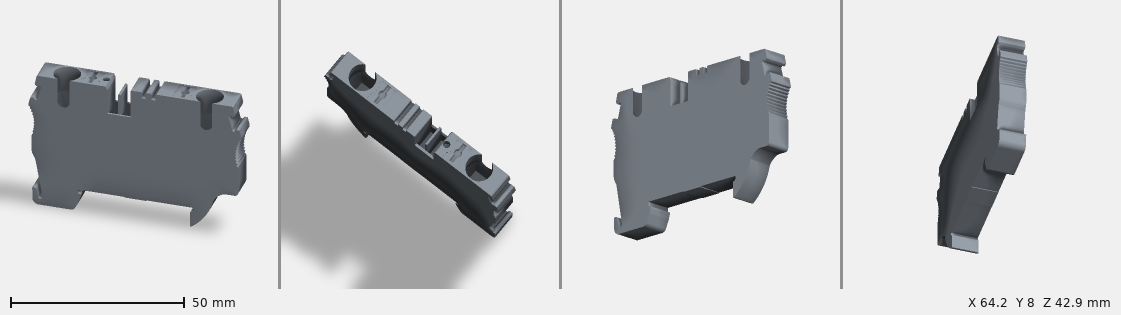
import cadquery as cq
import math

half_length = 32.1
thickness = 8.0
height = 42.9
half_thickness = thickness / 2
side_wall_x = 31.1
side_wall_top_z = 22.8

grip_radius = 11.55
grip_center_z = 26.65
grip_top_angle = 30.0
grip_bottom_angle = -18.0
grip_center_x = half_length + grip_radius * math.cos(math.radians(grip_top_angle))
tooth_count = 10
tooth_depth = 0.4

rail_z = 7.05
pad_z = 6.9
pad_left_x = -3.1
pad_right_x = 3.55

slot_mouth = (-28.65, 7.4)
slot_outer_top = (-30.4, 5.45)
web_thickness = 0.95

jumper_left_x = -8.3
jumper_right_x = -1.3
jumper_floor_z = 34.0
jumper_chamfer_width = 0.5
jumper_chamfer_height = 1.15
jumper_edge_break = 0.2
pocket_back_y = 3.2
pocket_front_y = -3.4
pocket_depth = 6.4
blade_x = -4.8
blade_width = 0.8
blade_top_z = 40.6
blade_chamfer = 0.2

groove_floor_z = 40.9
groove_lip = 0.2
groove_lip_height = 0.4
groove_spans = ((2.0, 3.2), (4.95, 6.3))

entry_x = 21.5
entry_y = -0.42
entry_radius = 4.015
entry_bore_end_z = 34.95
entry_taper_depth = 6.4
seat_size = 4.5
seat_x = 21.0
seat_y = 0.0

marker_x = 13.95
marker_length = 5.5
marker_width = 6.4
marker_depth = 0.1
marker_notch_depth = 0.7
marker_notch_width = 3.1
driver_top_width = 1.3
driver_floor_width = 0.65
driver_head_top_diameter = 2.45
driver_head_floor_diameter = 1.8
driver_depth = 0.65

test_hole_x = -9.8
test_hole_diameter = 2.1
test_hole_depth = 3.2
test_rib_diameter = 0.8
test_clearance_radius = 2.3


def box(x0, x1, y0, y1, z0, z1):
    """Box between the given limits."""
    return cq.Workplane("XY").box(x1 - x0, y1 - y0, z1 - z0, centered=False).translate((x0, y0, z0))


def prism(outline, y0=-half_thickness, y1=half_thickness):
    """Extrude a closed XZ outline from y0 to y1."""
    return outline.extrude(y0 - y1).translate((0, y0, 0))


def grip_point(radius, angle):
    """Point on the right-hand grip, measured from the grip centre."""
    a = math.radians(angle)
    return (grip_center_x - radius * math.cos(a), grip_center_z + radius * math.sin(a))


def end_points():
    """Right end from the top corner down to the foot of the grip teeth."""
    points = [
        (29.2, height),
        (29.6, 42.7),
        (30.2, 40.2),
        (30.1, 39.75),
        (29.5, 39.3),
        (28.9, 39.8),
        (28.25, 39.25),
        (29.4, 34.8),
        (29.95, 34.55),
        (30.6, 35.3),
        (31.55, 35.3),
        (half_length, 33.0),
    ]
    step = (grip_top_angle - grip_bottom_angle) / tooth_count
    for i in range(tooth_count):
        tip_angle = grip_top_angle - i * step
        points.append(grip_point(grip_radius, tip_angle))
        points.append(grip_point(grip_radius + tooth_depth, tip_angle - step / 2))
    points.append((side_wall_x, side_wall_top_z))
    return points


def make_body():
    right_end = end_points()
    left_end = [(-x, z) for x, z in reversed(right_end)]
    outline = (
        cq.Workplane("XZ")
        .polyline(right_end)
        .lineTo(side_wall_x, 14.3)
        .radiusArc((30.05, 13.3), 1.0)
        .lineTo(27.1, 13.3)
        .threePointArc((25.4, 12.45), (23.8, 10.8))
        .threePointArc((21.7, 5.7), (17.1, 0.7))
        .lineTo(16.7, 0.7)
        .lineTo(16.7, 5.45)
        .lineTo(17.35, 5.7)
        .lineTo(17.65, 6.15)
        .lineTo(17.65, rail_z)
        .lineTo(pad_right_x, rail_z)
        .lineTo(pad_right_x, pad_z)
        .lineTo(pad_left_x, pad_z)
        .lineTo(pad_left_x, rail_z)
        .lineTo(-17.15, rail_z)
        .lineTo(-17.15, 5.85)
        .lineTo(-16.4, 5.5)
        .lineTo(-16.4, 4.95)
        .lineTo(-16.75, 3.55)
        .lineTo(-18.0, 0.85)
        .radiusArc((-19.2, 0), 1.6)
        .lineTo(-29.2, 0)
        .radiusArc((-30.9, 2.05), 1.85)
        .lineTo(-30.9, 4.6)
        .lineTo(-31.1, 4.95)
        .radiusArc(slot_outer_top, 0.65)
        .radiusArc((-29.7, 4.75), 0.85)
        .lineTo(-29.15, 2.75)
        .threePointArc((-28.45, 2.0), (-27.8, 2.8))
        .lineTo(-29.95, 14.5)
        .lineTo(-30.1, 15.3)
        .lineTo(-30.8, 16.45)
        .radiusArc((-side_wall_x, 18.2), 3.2)
    )
    for point in left_end:
        outline = outline.lineTo(*point)
    return prism(outline.close())


def slot_web():
    outline = (
        cq.Workplane("XZ")
        .moveTo(*slot_mouth)
        .lineTo(-28.9, 6.75)
        .lineTo(-29.75, 6.15)
        .lineTo(*slot_outer_top)
        .lineTo(-29.5, 1.9)
        .lineTo(-27.6, 1.9)
        .close()
    )
    return prism(outline, half_thickness - web_thickness, half_thickness)


def jumper_slot():
    outline = cq.Workplane("XZ").polyline([
        (jumper_left_x - jumper_chamfer_width, height),
        (jumper_left_x, height - jumper_chamfer_height),
        (jumper_left_x, jumper_floor_z),
        (jumper_right_x, jumper_floor_z),
        (jumper_right_x, height - jumper_edge_break),
        (jumper_right_x + jumper_edge_break, height),
    ]).close()
    pocket = box(
        jumper_left_x, jumper_right_x,
        pocket_front_y, pocket_back_y,
        jumper_floor_z - pocket_depth, jumper_floor_z,
    )
    return prism(outline).union(pocket)


def contact_blade():
    blade = box(
        blade_x - blade_width / 2, blade_x + blade_width / 2,
        pocket_front_y, pocket_back_y,
        jumper_floor_z - pocket_depth, blade_top_z,
    )
    return blade.edges("|Y and >Z").chamfer(blade_chamfer)


def label_groove(x0, x1):
    lip_z = height - groove_lip_height
    return prism(cq.Workplane("XZ").polyline([
        (x0 - groove_lip, height),
        (x0, lip_z),
        (x0, groove_floor_z),
        (x1, groove_floor_z),
        (x1, lip_z),
        (x1 + groove_lip, height),
    ]).close())


def wire_entry(side):
    bore = (
        cq.Workplane("XY", origin=(side * entry_x, entry_y, entry_bore_end_z))
        .circle(entry_radius)
        .extrude(height - entry_bore_end_z)
    )
    corner = entry_radius * math.sqrt(0.5)
    taper = (
        cq.Workplane("XY", origin=(side * entry_x, entry_y, entry_bore_end_z))
        .moveTo(-corner, -corner)
        .threePointArc((0, -entry_radius), (corner, -corner))
        .threePointArc((entry_radius, 0), (corner, corner))
        .threePointArc((0, entry_radius), (-corner, corner))
        .threePointArc((-entry_radius, 0), (-corner, -corner))
        .close()
        .workplane(offset=-entry_taper_depth, origin=(side * seat_x, seat_y, entry_bore_end_z))
        .rect(seat_size, seat_size)
        .loft(ruled=True)
    )
    return bore.union(taper)


def marker_recess(side):
    center_x = side * marker_x
    top = cq.Workplane("XY", origin=(center_x, 0, height))
    panel = top.rect(marker_length, marker_width).extrude(-marker_depth)
    notch = (
        top.center(side * marker_length / 2, 0)
        .rect(2 * marker_notch_depth, marker_notch_width)
        .extrude(-marker_depth)
    )
    driver_top_z = height - marker_depth
    driver_floor_z = driver_top_z - driver_depth
    groove = prism(
        cq.Workplane("XZ").polyline([
            (center_x - driver_top_width / 2, driver_top_z),
            (center_x + driver_top_width / 2, driver_top_z),
            (center_x + driver_floor_width / 2, driver_floor_z),
            (center_x - driver_floor_width / 2, driver_floor_z),
        ]).close(),
        -marker_width / 2,
        marker_width / 2,
    )
    head = (
        cq.Workplane("XY", origin=(center_x, 0, driver_top_z))
        .circle(driver_head_top_diameter / 2)
        .workplane(offset=-driver_depth)
        .circle(driver_head_floor_diameter / 2)
        .loft()
    )
    return panel.cut(notch).union(groove).union(head)


def test_hole():
    top = cq.Workplane("XY", origin=(test_hole_x, 0, height))
    hole = top.circle(test_hole_diameter / 2).extrude(-test_hole_depth)
    rib = prism(
        cq.Workplane("XZ")
        .center(test_hole_x, height - test_hole_depth)
        .circle(test_rib_diameter / 2)
    )
    return hole.cut(rib)


def test_hole_relief():
    """Material kept around the test hole inside the left marker recess."""
    return (
        cq.Workplane("XY", origin=(test_hole_x, 0, height))
        .circle(test_clearance_radius)
        .extrude(-marker_depth)
    )


body = make_body().union(slot_web())
body = body.cut(jumper_slot()).union(contact_blade())
for x0, x1 in groove_spans:
    body = body.cut(label_groove(x0, x1))
for side in (-1, 1):
    body = body.cut(wire_entry(side))
body = body.cut(marker_recess(1))
body = body.cut(marker_recess(-1).cut(test_hole_relief()))
body = body.cut(test_hole())

result = body